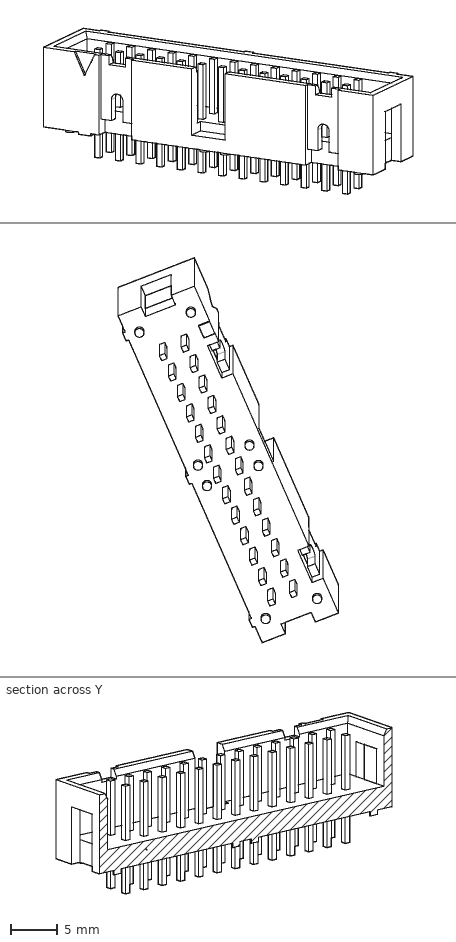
import cadquery as cq

pitch = 2.54
pin_columns = 13
pin_rows = 2
pin_side = 0.64
pin_top_gap = 0.25
pin_tail = 3.45

length = 40.6
total_depth = 9.2
back_rib_depth = 0.3
depth = total_depth - back_rib_depth
height = 8.9
front_y = -depth / 2
back_y = depth / 2

side_wall = 1.3
end_wall = 1.2
floor_z = 2.55
lead_in_width = 0.4
lead_in_height = 0.7
cavity_length = length - 2 * end_wall
cavity_depth = depth - 2 * side_wall

key_width = 4.1
key_depth = 2.0
key_bottom_z = 1.5

latch_centres = [-4.5 * pitch, 5.5 * pitch]
latch_width = 4.0
latch_recess = 0.4
latch_undercut_top_z = 1.7
latch_slot_width = 1.4
latch_slot_top_z = 4.75
rim_notch_width = 2.0
rim_notch_depth = 1.0

window_width = 3.5
window_top_z = 6.45

first_pin_x = -(pin_columns - 1) / 2 * pitch
mark_width = 2.5
mark_height = 2.5
mark_recess = 0.3
tab_width = 1.5
tab_height = 0.25

back_rib_width = 1.0
outer_x = 7 * pitch
inner_foot_x = pitch / 2
foot_diameter = 1.0
foot_height = 0.5
foot_y = 3.0


def block(x_range, y_range, z_range):
    """Axis-aligned box between the given limits."""
    (x0, x1), (y0, y1), (z0, z1) = x_range, y_range, z_range
    return cq.Workplane("XY").box(x1 - x0, y1 - y0, z1 - z0, centered=False).translate((x0, y0, z0))


def span(centre, width):
    """Limits of a width placed about a centre."""
    return (centre - width / 2, centre + width / 2)


def cavity():
    """Straight-walled cavity with a bevelled lead-in at the rim."""
    well = block(span(0, cavity_length), span(0, cavity_depth), (floor_z, height))
    lead_in = (
        cq.Workplane("XY")
        .workplane(offset=height - lead_in_height)
        .rect(cavity_length, cavity_depth)
        .workplane(offset=lead_in_height)
        .rect(cavity_length + 2 * lead_in_width, cavity_depth + 2 * lead_in_width)
        .loft(ruled=True)
    )
    return well.union(lead_in)


def key_slot():
    return block(span(0, key_width), (front_y, front_y + key_depth), (key_bottom_z, height))


def latch_cut(x):
    """Front recess with an undercut foot, a round-topped slot and a rim notch."""
    wall = (front_y, front_y + side_wall)
    slot_radius = latch_slot_width / 2
    slot_arc_z = latch_slot_top_z - slot_radius
    recess = block(span(x, latch_width), (front_y, front_y + latch_recess), (0, height))
    undercut = block(span(x, latch_width), wall, (0, latch_undercut_top_z))
    slot = block(span(x, latch_slot_width), wall, (0, slot_arc_z))
    slot_top = (
        cq.Workplane("XZ", origin=(x, front_y, slot_arc_z)).circle(slot_radius).extrude(-side_wall)
    )
    notch = block(span(x, rim_notch_width), wall, (height - rim_notch_depth, height))
    return recess.union(undercut).union(slot).union(slot_top).union(notch)


def end_window(outer_face_x, inner_face_x):
    """Window through an end wall, open down to the underside in front of the floor block."""
    x_range = (min(outer_face_x, inner_face_x), max(outer_face_x, inner_face_x))
    return block(x_range, span(0, window_width), (0, window_top_z))


def pin_one_triangle():
    left, right = span(first_pin_x, mark_width)
    return (
        cq.Workplane("XZ", origin=(0, front_y, 0))
        .polyline([(left, height), (right, height), (first_pin_x, height - mark_height)])
        .close()
        .extrude(-mark_recess)
    )


def pin_one_tab():
    return block(span(first_pin_x, tab_width), (front_y, front_y + side_wall), (-tab_height, 0))


def back_rib(x):
    return block(span(x, back_rib_width), (back_y, back_y + back_rib_depth), (0, height))


def feet():
    foot_places = []
    for x in (-outer_x, -inner_foot_x, inner_foot_x, outer_x):
        for y in (-foot_y, foot_y):
            foot_places.append((x, y))
    return cq.Workplane("XY").pushPoints(foot_places).circle(foot_diameter / 2).extrude(-foot_height)


def pins():
    return (
        cq.Workplane("XY", origin=(0, 0, -pin_tail))
        .rarray(pitch, pitch, pin_columns, pin_rows)
        .rect(pin_side, pin_side)
        .extrude(pin_tail + height - pin_top_gap)
    )


housing = block(span(0, length), (front_y, back_y), (0, height))
housing = housing.cut(cavity()).cut(key_slot()).cut(pin_one_triangle())
for latch_x in latch_centres:
    housing = housing.cut(latch_cut(latch_x))
for end in (-1, 1):
    housing = housing.cut(end_window(end * length / 2, end * cavity_length / 2))
for rib_x in (-outer_x, 0, outer_x):
    housing = housing.union(back_rib(rib_x))

result = housing.union(pin_one_tab()).union(feet()).union(pins())